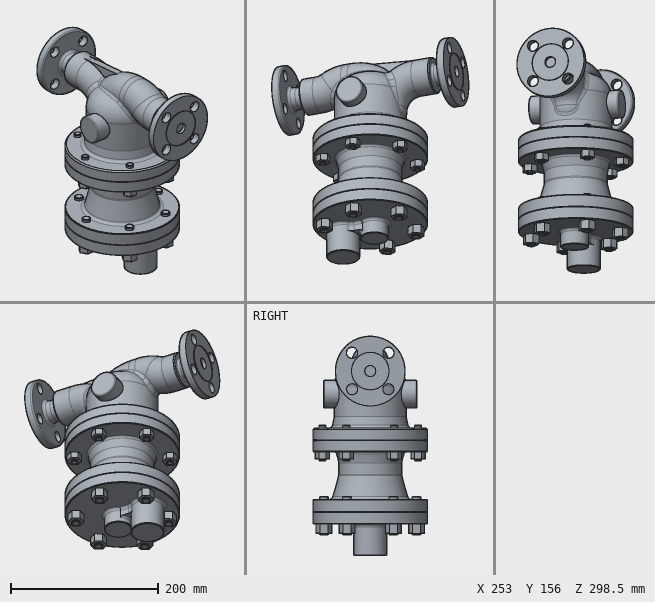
import cadquery as cq
import math


END_FACE_X = 126.5
RAISED_FACE_DIA = 51
RAISED_FACE_HEIGHT = 1
END_FLANGE_DIA = 95
END_FLANGE_THICKNESS = 11
END_FLANGE_EDGE_FILLET = 2
END_HOLE_DIA = 15
END_HOLE_COUNT = 4
END_HOLE_CIRCLE_DIA = 70
BORE_DIA = 15
BORE_DEPTH = 5
NECK_DIA = 30
NECK_ROOT_DIA = 32.5
NECK_ROOT_FILLET = 4
NECK_TAPER_END_X = 104.5
NECK_PIPE_FILLET = 3

PIPE_DIA = 50
PIPE_END_X = 95
PIPE_END_CHAMFER = 1.5
LEFT_BEND_RADIUS = 42
RISE_BEND_RADIUS = 38
LEFT_BEND_X = -69
RIGHT_BEND_X = 75
CREST_RIGHT_X = 33.5
CREST_LEFT_X = 24
CREST_HEIGHT = 11.3
ENTRY_BEND_RADIUS = 54
ENTRY_BEND_ANGLE = 60

BODY_DIA = 98
DOME_BASE_Z = -20
DOME_CORNER_RADIUS = 31
BODY_FLARE_Z = -62
FLARE_BASE_DIA = 104.4
FLARE_FILLET = 5
LEFT_BLEND_RADIUS = 11
RIGHT_BLEND_RADIUS = 5
RIGHT_SEAMS_LEFT_X = -33
SIDE_BOSS_DIA = 38
SIDE_BOSS_REACH = 63.5
SIDE_BOSS_X = 6
SIDE_BOSS_Z = -31.4
SIDE_BOSS_FILLET = 1.5
BOSS_CHAMFER = 1

RIB_THICKNESS = 10
RIB_RIGHT_X = -2
RIB_SLOPE = 0.083
RIB_BOTTOM_Z = 8
RIB_LEFT_EXTRA = 8

BODY_FLANGE_DIA = 156
BODY_FLANGE_CHAMFER = 1
UPPER_FLANGE_CHAMFER = 2
UPPER_FLANGE_TOP_Z = -77.5
UPPER_JOINT_Z = -94
UPPER_FLANGE_BOTTOM_Z = -110
LOWER_FLANGE_TOP_Z = -174.5
LOWER_JOINT_Z = -191.7
LOWER_FLANGE_BOTTOM_Z = -208.3
JOINT_GAP = 1
GASKET_DIA = 146
SPOOL_DIA = 85.96
SPOOL_TOP_DIA = 92.1
SPOOL_TOP_Z = -113
SPOOL_UPPER_Z = -125
SPOOL_LOWER_Z = -141.2
SPOOL_WAIST_FILLET = 6
SPOOL_TOP_FILLET = 2.8

BOLT_COUNT = 6
FIRST_BOLT_ANGLE = 30
STUD_TIP_ABOVE = 4
STUD_CHAMFER = 1
UPPER_STUD_DIA = 10
UPPER_BOLT_CIRCLE_DIA = 130
UPPER_NUT_FLATS = 17
UPPER_NUT_HEIGHT = 9.5
LOWER_STUD_DIA = 12
LOWER_BOLT_CIRCLE_DIA = 126
LOWER_NUT_FLATS = 19
LOWER_NUT_HEIGHT = 12.3
STUD_TIP_BELOW_NUT = 2.5

OUTLET_DIA = 45
OUTLET_X = 39.5
OUTLET_BOTTOM_Z = -251
PLUG_DIA = 38
PLUG_X = -6
PLUG_BOTTOM_Z = -230.7
PAD_BOTTOM_Z = -220.7
PAD_FILLET = 4
PAD_SEAM_REACH = 65
WEB_WIDTH = 30
PLUG_NECK_FILLET = 2.5
WEB_CORNER_FILLET = 12

SELECT_MARGIN = 0.1
SELECT_REACH = 1


def cylinder_z(diameter, z_low, z_high, x=0):
    """Upright cylinder between two heights."""
    return cq.Workplane("XY", origin=(x, 0, z_low)).circle(diameter / 2).extrude(z_high - z_low)


def end_connection():
    """Flange and neck of the +X pipe end, up to the start of the pipe."""
    flange_outer_x = END_FACE_X - RAISED_FACE_HEIGHT
    flange_inner_x = flange_outer_x - END_FLANGE_THICKNESS
    flange = (
        cq.Workplane("YZ", origin=(flange_inner_x, 0, 0))
        .circle(END_FLANGE_DIA / 2)
        .extrude(END_FLANGE_THICKNESS)
        .edges("<X")
        .fillet(END_FLANGE_EDGE_FILLET)
    )
    raised_face = (
        cq.Workplane("YZ", origin=(flange_outer_x, 0, 0))
        .circle(RAISED_FACE_DIA / 2)
        .extrude(RAISED_FACE_HEIGHT)
    )
    neck_radius = NECK_DIA / 2
    root_radius = NECK_ROOT_DIA / 2
    arc_offset = NECK_PIPE_FILLET * (1 - math.sqrt(0.5))
    neck = (
        cq.Workplane("XZ")
        .moveTo(PIPE_END_X, 0)
        .lineTo(PIPE_END_X, neck_radius + NECK_PIPE_FILLET)
        .threePointArc(
            (PIPE_END_X + arc_offset, neck_radius + arc_offset),
            (PIPE_END_X + NECK_PIPE_FILLET, neck_radius),
        )
        .lineTo(NECK_TAPER_END_X, neck_radius)
        .lineTo(flange_inner_x, root_radius)
        .lineTo(flange_inner_x, 0)
        .close()
        .revolve(360, (0, 0, 0), (1, 0, 0))
    )
    root_reach = root_radius + SELECT_REACH
    root_edge = cq.selectors.BoxSelector(
        (flange_inner_x - SELECT_MARGIN, -root_reach, -root_reach),
        (flange_inner_x + SELECT_MARGIN, root_reach, root_reach),
        boundingbox=True,
    )
    connection = flange.union(neck).edges(root_edge).fillet(NECK_ROOT_FILLET).union(raised_face)
    bore = cq.Workplane("YZ", origin=(END_FACE_X, 0, 0)).circle(BORE_DIA / 2).extrude(-BORE_DEPTH)
    bolt_holes = (
        cq.Workplane("YZ", origin=(flange_inner_x, 0, 0))
        .polarArray(END_HOLE_CIRCLE_DIA / 2, 180 / END_HOLE_COUNT, 360, END_HOLE_COUNT)
        .circle(END_HOLE_DIA / 2)
        .extrude(END_FLANGE_THICKNESS)
    )
    return connection.cut(bore).cut(bolt_holes)


def straight_pipe(x_start, x_end):
    """Horizontal pipe on the X axis, chamfered at its outer end x_end."""
    outer_end = "<X" if x_end < x_start else ">X"
    return (
        cq.Workplane("YZ", origin=(x_start, 0, 0))
        .circle(PIPE_DIA / 2)
        .extrude(x_end - x_start)
        .faces(outer_end)
        .chamfer(PIPE_END_CHAMFER)
    )


def left_pipe():
    """Pipe from -X that turns down into the body and ends in a round cap."""
    bend_end_x = LEFT_BEND_X + LEFT_BEND_RADIUS
    path = (
        cq.Workplane("XZ")
        .moveTo(LEFT_BEND_X, 0)
        .radiusArc((bend_end_x, -LEFT_BEND_RADIUS), LEFT_BEND_RADIUS)
    )
    bend = cq.Workplane("YZ", origin=(LEFT_BEND_X, 0, 0)).circle(PIPE_DIA / 2).sweep(path)
    cap = cq.Workplane("XY").sphere(PIPE_DIA / 2).translate((bend_end_x, 0, -LEFT_BEND_RADIUS))
    return bend.union(cap).union(straight_pipe(LEFT_BEND_X, -PIPE_END_X))


def right_pipe():
    """Pipe from +X that rises over a crest and dives into the dome."""
    run = RIGHT_BEND_X - CREST_RIGHT_X
    rise_angle = 2 * math.atan(CREST_HEIGHT / run)
    rise_end = (
        RIGHT_BEND_X - RISE_BEND_RADIUS * math.sin(rise_angle),
        RISE_BEND_RADIUS * (1 - math.cos(rise_angle)),
    )
    entry_angle = math.radians(ENTRY_BEND_ANGLE)
    entry_end = (
        CREST_LEFT_X - ENTRY_BEND_RADIUS * math.sin(entry_angle),
        CREST_HEIGHT - ENTRY_BEND_RADIUS * (1 - math.cos(entry_angle)),
    )
    path = (
        cq.Workplane("XZ")
        .moveTo(RIGHT_BEND_X, 0)
        .radiusArc(rise_end, RISE_BEND_RADIUS)
        .tangentArcPoint((CREST_RIGHT_X, CREST_HEIGHT), relative=False)
        .lineTo(CREST_LEFT_X, CREST_HEIGHT)
        .tangentArcPoint(entry_end, relative=False)
    )
    bends = cq.Workplane("YZ", origin=(RIGHT_BEND_X, 0, 0)).circle(PIPE_DIA / 2).sweep(path)
    return bends.union(straight_pipe(RIGHT_BEND_X, PIPE_END_X))


def body_shell():
    """Domed upper body with the flared foot that meets its flange."""
    radius = BODY_DIA / 2
    crown_radius = radius - DOME_CORNER_RADIUS
    crown_z = DOME_BASE_Z + DOME_CORNER_RADIUS
    return (
        cq.Workplane("XZ")
        .moveTo(0, UPPER_FLANGE_TOP_Z)
        .lineTo(FLARE_BASE_DIA / 2, UPPER_FLANGE_TOP_Z)
        .lineTo(radius, BODY_FLARE_Z)
        .lineTo(radius, DOME_BASE_Z)
        .tangentArcPoint((crown_radius, crown_z), relative=False)
        .lineTo(0, crown_z)
        .close()
        .revolve(360, (0, 0, 0), (0, 1, 0))
    )


def valve_head():
    """Domed body with both pipes blended into it and into each other."""
    seam_curves = "(not %LINE) and (not %CIRCLE)"
    head = body_shell().union(left_pipe()).edges(seam_curves).fillet(LEFT_BLEND_RADIUS)
    reach = BODY_DIA
    right_pipe_seams = cq.selectors.BoxSelector((RIGHT_SEAMS_LEFT_X, -reach, -reach), (reach, reach, reach))
    return head.union(right_pipe()).edges(right_pipe_seams).edges(seam_curves).fillet(RIGHT_BLEND_RADIUS)


def rib():
    """Flat web joining the tops of the two pipes."""
    radius = PIPE_DIA / 2
    left_x = LEFT_BEND_X - RIB_LEFT_EXTRA
    left_z = radius - RIB_SLOPE * RIB_LEFT_EXTRA
    right_z = radius + RIB_SLOPE * (RIB_RIGHT_X - LEFT_BEND_X)
    return (
        cq.Workplane("XZ", origin=(0, RIB_THICKNESS / 2, 0))
        .moveTo(left_x, RIB_BOTTOM_Z)
        .lineTo(left_x, left_z)
        .lineTo(RIB_RIGHT_X, right_z)
        .lineTo(RIB_RIGHT_X, RIB_BOTTOM_Z)
        .close()
        .extrude(RIB_THICKNESS)
    )


def side_bosses():
    """Pair of bosses on the body, one to each side along Y."""
    return (
        cq.Workplane("XZ", origin=(SIDE_BOSS_X, SIDE_BOSS_REACH, SIDE_BOSS_Z))
        .circle(SIDE_BOSS_DIA / 2)
        .extrude(2 * SIDE_BOSS_REACH)
        .faces("<Y or >Y")
        .edges()
        .fillet(SIDE_BOSS_FILLET)
    )


def flange_pair(top_z, joint_z, bottom_z, top_chamfer):
    """Two mating body flanges with a narrow open gap outside the gasket."""
    pair = cylinder_z(BODY_FLANGE_DIA, bottom_z, top_z).edges("<Z").chamfer(BODY_FLANGE_CHAMFER)
    pair = pair.edges(">Z").chamfer(top_chamfer)
    gap_low = joint_z - JOINT_GAP / 2
    gap_high = joint_z + JOINT_GAP / 2
    gasket = cylinder_z(GASKET_DIA, gap_low, gap_high)
    gap = cylinder_z(BODY_FLANGE_DIA + SELECT_REACH, gap_low, gap_high).cut(gasket)
    return pair.cut(gap)


def spool():
    """Waisted body between the two flange pairs."""
    radius = SPOOL_DIA / 2
    return (
        cq.Workplane("XZ")
        .moveTo(0, UPPER_FLANGE_BOTTOM_Z)
        .lineTo(SPOOL_TOP_DIA / 2, UPPER_FLANGE_BOTTOM_Z)
        .lineTo(SPOOL_TOP_DIA / 2, SPOOL_TOP_Z)
        .lineTo(radius, SPOOL_UPPER_Z)
        .lineTo(radius, SPOOL_LOWER_Z)
        .lineTo(FLARE_BASE_DIA / 2, LOWER_FLANGE_TOP_Z)
        .lineTo(0, LOWER_FLANGE_TOP_Z)
        .close()
        .revolve(360, (0, 0, 0), (0, 1, 0))
    )


def seam_at(z, radius):
    """Selects the edges at height z that lie within a radius of the Z axis."""
    reach = radius + SELECT_REACH
    return cq.selectors.BoxSelector(
        (-reach, -reach, z - SELECT_MARGIN),
        (reach, reach, z + SELECT_MARGIN),
        boundingbox=True,
    )


def bolt_set(top_z, bottom_z, circle_dia, stud_dia, flats, nut_height):
    """Ring of studs through a flange pair with a hexagon nut under each."""
    tip_z = bottom_z - nut_height - STUD_TIP_BELOW_NUT
    stud = cylinder_z(stud_dia, tip_z, top_z + STUD_TIP_ABOVE).edges().chamfer(STUD_CHAMFER)
    nut = (
        cq.Workplane("XY", origin=(0, 0, bottom_z))
        .polygon(6, flats, circumscribed=True)
        .extrude(-nut_height)
    )
    bolt = stud.union(nut)
    ring = cq.Workplane("XY")
    for index in range(BOLT_COUNT):
        angle = math.radians(FIRST_BOLT_ANGLE + index * 360 / BOLT_COUNT)
        spot = (circle_dia / 2 * math.cos(angle), circle_dia / 2 * math.sin(angle), 0)
        ring = ring.add(bolt.translate(spot))
    return ring.combine()


def bottom_fittings(flanges):
    """Adds the pad, plug boss and outlet under the lower flange."""
    height = LOWER_FLANGE_BOTTOM_Z - PAD_BOTTOM_Z
    web = (
        cq.Workplane("XY", origin=((PLUG_X + OUTLET_X) / 2, 0, PAD_BOTTOM_Z))
        .rect(OUTLET_X - PLUG_X, WEB_WIDTH)
        .extrude(height)
    )
    plug = cylinder_z(PLUG_DIA, PLUG_BOTTOM_Z, LOWER_FLANGE_BOTTOM_Z, PLUG_X)
    plug = plug.faces("<Z").chamfer(BOSS_CHAMFER)
    outlet = cylinder_z(OUTLET_DIA, OUTLET_BOTTOM_Z, LOWER_FLANGE_BOTTOM_Z, OUTLET_X)
    outlet = outlet.faces("<Z").chamfer(BOSS_CHAMFER)
    fittings = web.union(plug).union(outlet)

    web_corners = cq.selectors.BoxSelector(
        (OUTLET_X - OUTLET_DIA / 2, -PLUG_DIA, PAD_BOTTOM_Z - SELECT_MARGIN),
        (OUTLET_X - SELECT_REACH, PLUG_DIA, LOWER_FLANGE_BOTTOM_Z + SELECT_MARGIN),
        boundingbox=True,
    )
    fittings = fittings.edges(web_corners).edges("|Z").fillet(WEB_CORNER_FILLET)

    plug_seam = cq.selectors.BoxSelector(
        (PLUG_X, -PLUG_DIA / 2, PAD_BOTTOM_Z - SELECT_MARGIN),
        (PLUG_X + PLUG_DIA / 2 + SELECT_MARGIN, PLUG_DIA / 2, PAD_BOTTOM_Z + SELECT_MARGIN),
        boundingbox=True,
    )
    fittings = fittings.edges(plug_seam).edges("%CIRCLE").fillet(PLUG_NECK_FILLET)
    joined = flanges.union(fittings)
    return joined.edges(seam_at(LOWER_FLANGE_BOTTOM_Z, PAD_SEAM_REACH)).fillet(PAD_FILLET)


upper = flange_pair(UPPER_FLANGE_TOP_Z, UPPER_JOINT_Z, UPPER_FLANGE_BOTTOM_Z, UPPER_FLANGE_CHAMFER)
lower_pair = flange_pair(LOWER_FLANGE_TOP_Z, LOWER_JOINT_Z, LOWER_FLANGE_BOTTOM_Z, BODY_FLANGE_CHAMFER)
lower = bottom_fittings(lower_pair)
valve = upper.union(valve_head()).union(spool()).union(lower)
for seam_z, seam_dia, seam_fillet in (
    (UPPER_FLANGE_TOP_Z, FLARE_BASE_DIA, FLARE_FILLET),
    (UPPER_FLANGE_BOTTOM_Z, SPOOL_TOP_DIA, SPOOL_TOP_FILLET),
    (LOWER_FLANGE_TOP_Z, FLARE_BASE_DIA, FLARE_FILLET),
    (SPOOL_LOWER_Z, SPOOL_DIA, SPOOL_WAIST_FILLET),
):
    valve = valve.edges(seam_at(seam_z, seam_dia / 2)).fillet(seam_fillet)

right_end = end_connection()
left_end = right_end.mirror("YZ")
upper_bolts = bolt_set(
    UPPER_FLANGE_TOP_Z,
    UPPER_FLANGE_BOTTOM_Z,
    UPPER_BOLT_CIRCLE_DIA,
    UPPER_STUD_DIA,
    UPPER_NUT_FLATS,
    UPPER_NUT_HEIGHT,
)
lower_bolts = bolt_set(
    LOWER_FLANGE_TOP_Z,
    LOWER_FLANGE_BOTTOM_Z,
    LOWER_BOLT_CIRCLE_DIA,
    LOWER_STUD_DIA,
    LOWER_NUT_FLATS,
    LOWER_NUT_HEIGHT,
)

result = valve
for piece in (rib(), side_bosses(), right_end, left_end, upper_bolts, lower_bolts):
    result = result.union(piece)